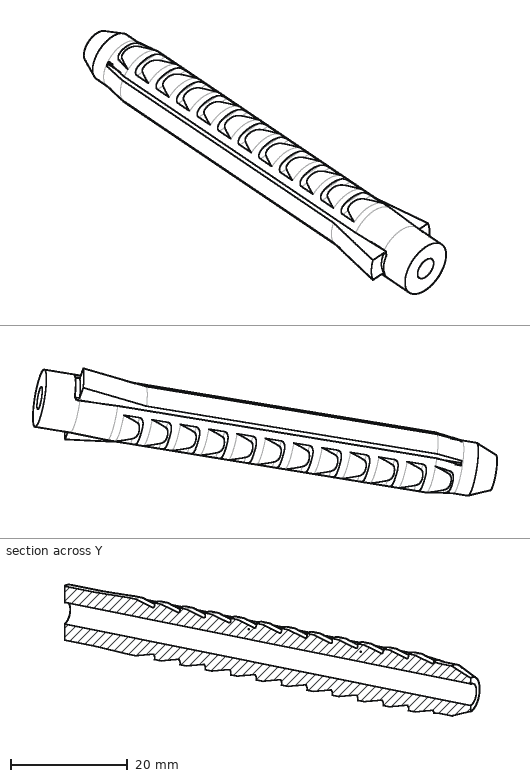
import cadquery as cq

length = 80.0
bore_diameter = 3.9
tip_diameter = 6.2
nose_diameter = 9.25
body_diameter = 10.5
head_diameter = 10.0

nose_start = 3.7
taper_start = 6.3
body_start = 11.0
body_end = 67.3
head_start = 73.9

pocket_count = 12
pocket_pitch = 5.0
pocket_length = 3.7
first_pocket_start = body_start - pocket_length
pocket_floor = 4.0
pocket_fillet = 0.9
ramp_start_radius = 4.25

slot_half_height = 2.95
wing_half_height = 2.3
slot_floor = 3.5
slot_start = 6.5
slot_end = 74.8
slot_corner_radius = slot_half_height - wing_half_height
flare_start = 62.3
wing_span = 14.13

clearance = 1.0


def revolve_profile(points):
    """Turn a closed (x, radius) outline about the X axis."""
    return cq.Workplane("XY").polyline(points).close().revolve(360, (0, 0, 0), (1, 0, 0))


def box_between(x_range, y_range, z_range):
    """Box given by its lower and upper limit along each axis."""
    sizes = [high - low for low, high in (x_range, y_range, z_range)]
    corner = (x_range[0], y_range[0], z_range[0])
    return cq.Workplane("XY").box(*sizes, centered=False).translate(corner)


def make_body():
    return revolve_profile([
        (0, 0),
        (0, tip_diameter / 2),
        (nose_start, nose_diameter / 2),
        (taper_start, nose_diameter / 2),
        (body_start, body_diameter / 2),
        (body_end, body_diameter / 2),
        (head_start, head_diameter / 2),
        (length, head_diameter / 2),
        (length, 0),
    ])


def make_side_slot():
    """Flat-floored slot in the +Y side, rounded at the corners of its head end."""
    slot = box_between(
        (slot_start, slot_end),
        (slot_floor, body_diameter / 2 + clearance),
        (-slot_half_height, slot_half_height),
    )
    return slot.faces(">X").edges("|Y").fillet(slot_corner_radius)


def make_wing():
    """Wing in the +Y slot: follows the body, then flares out and ends in a square barb.

    A low web of nose diameter carries on from the barb to the end of the slot.
    """
    turned = revolve_profile([
        (taper_start, 0),
        (taper_start, nose_diameter / 2),
        (body_start, body_diameter / 2),
        (flare_start, body_diameter / 2),
        (head_start, wing_span / 2),
        (head_start, nose_diameter / 2),
        (slot_end, nose_diameter / 2),
        (slot_end, 0),
    ])
    strip = box_between(
        (taper_start, slot_end),
        (slot_floor - clearance, wing_span / 2 + clearance),
        (-wing_half_height, wing_half_height),
    )
    return turned.intersect(strip)


def make_pocket(start):
    """Cutter for one grip pocket on the +Z side, with a conical ramp left standing in it."""
    end = start + pocket_length
    top = body_diameter / 2 + clearance
    trough = (
        cq.Workplane("XZ")
        .moveTo(start, top)
        .lineTo(start, pocket_floor + pocket_fillet)
        .radiusArc((start + pocket_fillet, pocket_floor), -pocket_fillet)
        .lineTo(end, pocket_floor)
        .lineTo(end, top)
        .close()
        .extrude(body_diameter / 2, both=True)
    )
    ramp = revolve_profile([
        (start, 0),
        (start, ramp_start_radius),
        (end, body_diameter / 2),
        (end, 0),
    ])
    return trough.cut(ramp)


plug = make_body()

slot = make_side_slot()
wing = make_wing()
plug = plug.cut(slot).cut(slot.mirror("XZ"))
plug = plug.union(wing).union(wing.mirror("XZ"))

for index in range(pocket_count):
    pocket = make_pocket(first_pocket_start + index * pocket_pitch)
    plug = plug.cut(pocket).cut(pocket.mirror("XY"))

bore = cq.Workplane("YZ").circle(bore_diameter / 2).extrude(length)
result = plug.cut(bore)